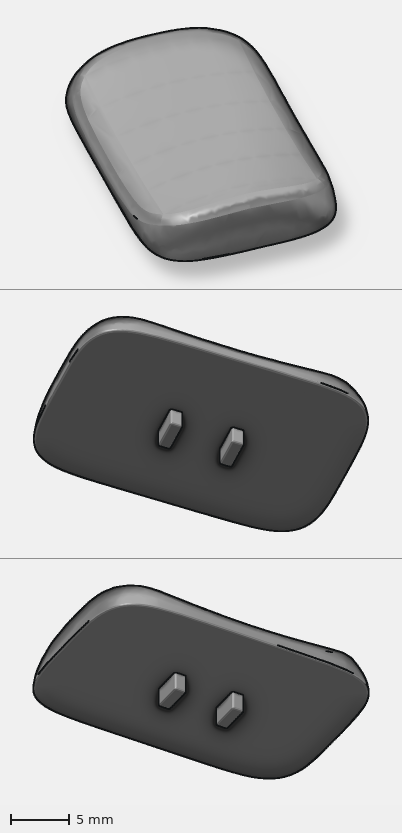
import cadquery as cq
import math

LENGTH = 26.97
WIDTH = 18.0
END_POWER = 6.7
SIDE_POWER = 4.1
BAND_HEIGHT = 0.25
BOTTOM_ROUND = 0.22
CORNER_SOFTENING = 0.07416
WALL_RADIUS = 6.35

CENTRE_HEIGHT = 3.55
DISH_RADIUS = 75.52
CROWN_RADIUS = 24.55
CROWN_HALF_WIDTH = 7.0
SHOULDER_RADIUS = 4.85
SHOULDER_END = math.radians(50)
RIM_ROUND = 1.35

STEM_SPACING = 5.7
STEM_THICKNESS = 1.2
STEM_WIDTH = 3.0
STEM_DEPTH = 1.78
STEM_ROUND = 0.22

POINTS_PER_QUARTER = 8
WALL_SECTIONS = 6
BLANK_HEIGHT = 5.4
CUTTER_TOP = 10.8
CUTTER_SWING = 30.0


def signed_power(value, exponent):
    return math.copysign(abs(value) ** exponent, value)


def outline(rise):
    """Points of the superellipse outline of the wall at a rise above the band."""
    inset = WALL_RADIUS - math.sqrt(WALL_RADIUS**2 - rise**2)
    half_length = LENGTH / 2 - inset
    half_width = WIDTH / 2 - inset
    sharpness = 1 - CORNER_SOFTENING * rise
    points = []
    for i in range(4 * POINTS_PER_QUARTER):
        quarter, step = divmod(i, POINTS_PER_QUARTER)
        fraction = step / POINTS_PER_QUARTER
        eased = fraction**2 * (3 - 2 * fraction)
        angle = math.pi / 2 * (quarter + eased)
        x = half_length * signed_power(math.cos(angle), 2 / (END_POWER * sharpness))
        y = half_width * signed_power(math.sin(angle), 2 / (SIDE_POWER * sharpness))
        points.append((x, y))
    return points


def make_band():
    """Upright foot of the cap with a rounded bottom edge."""
    band = cq.Workplane("XY").spline(outline(0), periodic=True).close().extrude(BAND_HEIGHT)
    return band.faces("<Z").edges().fillet(BOTTOM_ROUND)


def make_wall():
    """Loft of outlines that shrink along the wall arc while their corners soften."""
    step = (BLANK_HEIGHT - BAND_HEIGHT) / (WALL_SECTIONS - 1)
    wall = cq.Workplane("XY", origin=(0, 0, BAND_HEIGHT))
    for i in range(WALL_SECTIONS):
        if i > 0:
            wall = wall.workplane(offset=step)
        wall = wall.spline(outline(i * step), periodic=True).close()
    return wall.loft()


def make_saddle_cutter():
    """Space above the saddle: the crown profile swung about a high axis along Y."""
    crown_end = math.asin(CROWN_HALF_WIDTH / CROWN_RADIUS)
    join = (CROWN_HALF_WIDTH, CENTRE_HEIGHT - CROWN_RADIUS * (1 - math.cos(crown_end)))

    def shoulder(slope):
        """Point of the shoulder arc, tangent to the crown at their join."""
        y = join[0] + SHOULDER_RADIUS * (math.sin(slope) - math.sin(crown_end))
        z = join[1] - SHOULDER_RADIUS * (math.cos(crown_end) - math.cos(slope))
        return (y, z)

    def mirrored(point):
        return (-point[0], point[1])

    middle = shoulder((crown_end + SHOULDER_END) / 2)
    end = shoulder(SHOULDER_END)
    axis_height = CENTRE_HEIGHT + DISH_RADIUS
    cutter = (
        cq.Workplane("YZ")
        .moveTo(*mirrored(end))
        .threePointArc(mirrored(middle), mirrored(join))
        .threePointArc((0, CENTRE_HEIGHT), join)
        .threePointArc(middle, end)
        .lineTo(end[0], CUTTER_TOP)
        .lineTo(-end[0], CUTTER_TOP)
        .close()
        .revolve(CUTTER_SWING, (0, axis_height), (1, axis_height))
    )
    return cutter.rotate((0, 0, axis_height), (0, 1, axis_height), -CUTTER_SWING / 2)


def make_cap():
    """Wall trimmed by the saddle and rounded along the rim, standing on the band."""
    shell = make_wall().cut(make_saddle_cutter())
    rim = shell.edges("%BSPLINE").edges("not <Z")
    return make_band().union(rim.fillet(RIM_ROUND))


def make_stem(x):
    """Rectangular stem reaching from inside the band to below the cap."""
    return (
        cq.Workplane("XY")
        .box(STEM_THICKNESS, STEM_WIDTH, STEM_DEPTH + BAND_HEIGHT, centered=(True, True, False))
        .edges("|Z or <Z")
        .fillet(STEM_ROUND)
        .translate((x, 0, -STEM_DEPTH))
    )


result = make_cap()
for side in (-1, 1):
    result = result.union(make_stem(side * STEM_SPACING / 2))